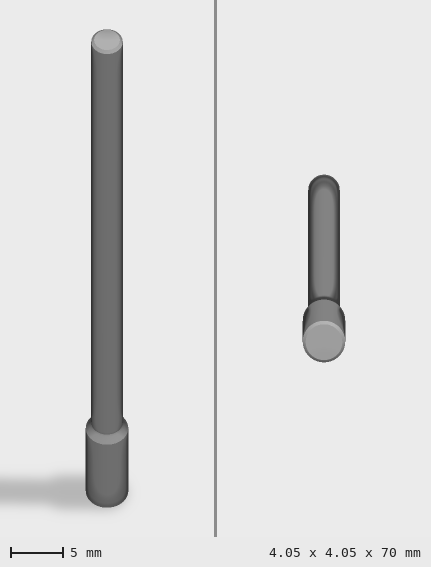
import cadquery as cq

total_length = 70.0
head_diameter = 4.05
shank_diameter = 3.0
head_length = 10.0
neck_cone_height = 0.9
tip_chamfer = 0.3
shank_end_chamfer = 0.3

half_length = total_length / 2
bottom_z = -half_length
head_top_z = bottom_z + head_length
cone_top_z = head_top_z + neck_cone_height


def make_head():
    """Solid cutting head with a chamfered tip."""
    return (
        cq.Workplane("XY", origin=(0, 0, bottom_z))
        .circle(head_diameter / 2)
        .extrude(head_length)
        .faces("<Z")
        .chamfer(tip_chamfer)
    )


def make_shank():
    """Shank that flares in a cone to the head diameter and has a chamfered free end."""
    head_radius = head_diameter / 2
    shank_radius = shank_diameter / 2
    profile = [
        (0, head_top_z),
        (head_radius, head_top_z),
        (shank_radius, cone_top_z),
        (shank_radius, half_length),
        (0, half_length),
    ]
    shank = cq.Workplane("XZ").polyline(profile).close().revolve(360, (0, 0), (0, 1))
    return shank.faces(">Z").chamfer(shank_end_chamfer)


head = make_head()
shank = make_shank()

result = cq.Compound.makeCompound([head.val(), shank.val()])